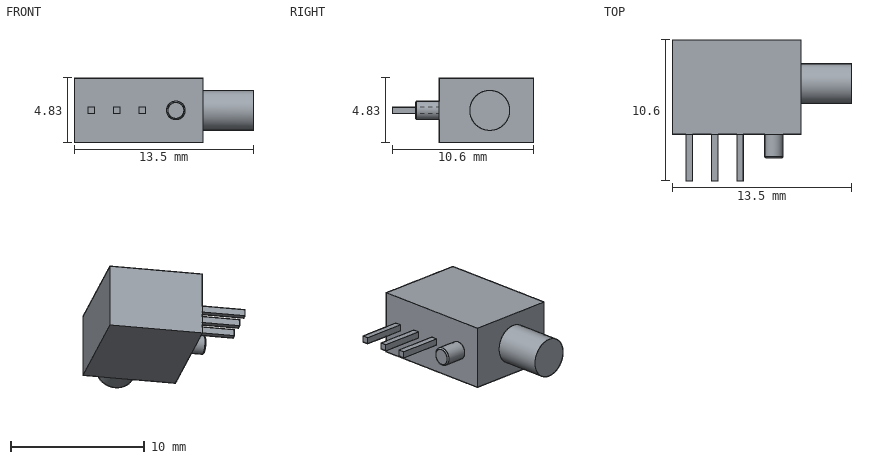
import cadquery as cq

total_length = 13.46
total_depth = 10.6
housing_height = 4.83
mid_height = housing_height / 2

barrel_diameter = 3.0
barrel_length = 3.8
barrel_y = 3.81

pin_count = 3
pin_size = 0.5
pin_length = 3.5
pin_pitch = 1.91
first_pin_x = 1.27

peg_diameter = 1.4
peg_length = 1.78
peg_chamfer = 0.101
peg_x = 7.62

housing_length = total_length - barrel_length
housing_depth = total_depth - pin_length


def front_face_plane(x):
    """Plane on the housing's front face at x, facing -Y."""
    return cq.Workplane("XZ", origin=(x, 0, mid_height))


def make_housing():
    """Rectangular block with the chamfered locating peg."""
    block = cq.Workplane("XY").box(housing_length, housing_depth, housing_height, centered=False)
    peg = front_face_plane(peg_x).circle(peg_diameter / 2).extrude(peg_length)
    peg = peg.faces("<Y").chamfer(peg_chamfer)
    return block.union(peg)


def make_barrel():
    """Round barrel that meets the housing's +X face."""
    plane = cq.Workplane("YZ", origin=(housing_length, barrel_y, mid_height))
    return plane.circle(barrel_diameter / 2).extrude(barrel_length)


def make_pin(x):
    """Square pin that meets the housing's front face."""
    return front_face_plane(x).rect(pin_size, pin_size).extrude(pin_length)


housing = make_housing()
barrel = make_barrel()
pins = [make_pin(first_pin_x + i * pin_pitch) for i in range(pin_count)]

result = cq.Compound.makeCompound([housing.val(), barrel.val(), *[pin.val() for pin in pins]])